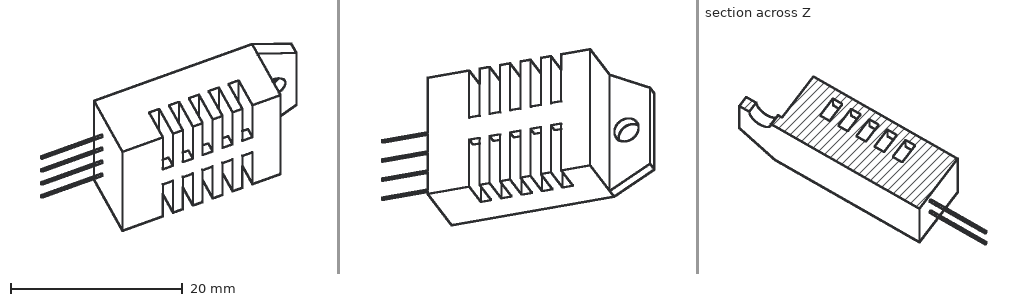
import cadquery as cq

WIDTH = 8.15
LENGTH = 32.95
HEIGHT = 15.45

PIN_LENGTH = 7.75
TAB_LENGTH = 5.0
HOUSING_LENGTH = LENGTH - PIN_LENGTH - TAB_LENGTH
HOUSING_END = PIN_LENGTH + HOUSING_LENGTH

TAB_THICKNESS = 1.5
TAB_TIP_HEIGHT = 10.1
HOLE_DIAMETER = 3.0
HOLE_FROM_TIP = 2.93

SLOT_COUNT = 5
SLOT_WIDTH = 1.3
SLOT_PITCH = 2.55
SLOT_DEPTH = 3.95
LAST_SLOT_FROM_HOUSING_END = 3.6

RIB_THICKNESS = 1.3
RIB_HEIGHT = 2.95

PIN_COUNT = 4
PIN_DIAMETER = 0.3
PIN_PITCH = 2.55
PIN_X = 2.3
PIN_ROW_CENTER_Z = -0.1
PIN_EMBED = 0.33


def block(x_min, y_min, x_size, y_size, z_size):
    """Box placed by its low X and Y sides and centred on Z = 0."""
    return cq.Workplane("XY").box(x_size, y_size, z_size, centered=(False, False, True)).translate(
        (x_min, y_min, 0)
    )


def mounting_tab():
    """Tapered plate behind the housing, with one screw hole."""
    half_root = HEIGHT / 2
    half_tip = TAB_TIP_HEIGHT / 2
    plate = (
        cq.Workplane("YZ")
        .moveTo(HOUSING_END, -half_root)
        .lineTo(LENGTH, -half_tip)
        .lineTo(LENGTH, half_tip)
        .lineTo(HOUSING_END, half_root)
        .close()
        .extrude(TAB_THICKNESS)
    )
    hole = (
        cq.Workplane("YZ")
        .center(LENGTH - HOLE_FROM_TIP, 0)
        .circle(HOLE_DIAMETER / 2)
        .extrude(TAB_THICKNESS)
    )
    return plate.cut(hole)


def vented_housing():
    """Rectangular housing with the row of vent slots and the rib across them."""
    housing = block(0, PIN_LENGTH, WIDTH, HOUSING_LENGTH, HEIGHT)
    last_slot_y = HOUSING_END - LAST_SLOT_FROM_HOUSING_END - SLOT_WIDTH
    first_slot_y = last_slot_y - (SLOT_COUNT - 1) * SLOT_PITCH
    for index in range(SLOT_COUNT):
        slot_y = first_slot_y + index * SLOT_PITCH
        slot = block(WIDTH - SLOT_DEPTH, slot_y, SLOT_DEPTH, SLOT_WIDTH, HEIGHT)
        housing = housing.cut(slot)
    rib_length = last_slot_y + SLOT_WIDTH - first_slot_y
    rib = block(WIDTH - RIB_THICKNESS, first_slot_y, RIB_THICKNESS, rib_length, RIB_HEIGHT)
    return housing.union(rib)


def pins():
    """Row of round pins along Z, rooted a little inside the housing."""
    first_pin_z = PIN_ROW_CENTER_Z - (PIN_COUNT - 1) * PIN_PITCH / 2
    centers = [(PIN_X, first_pin_z + index * PIN_PITCH) for index in range(PIN_COUNT)]
    return (
        cq.Workplane("XZ")
        .pushPoints(centers)
        .circle(PIN_DIAMETER / 2)
        .extrude(-(PIN_LENGTH + PIN_EMBED))
    )


result = vented_housing().union(mounting_tab()).union(pins()).clean()